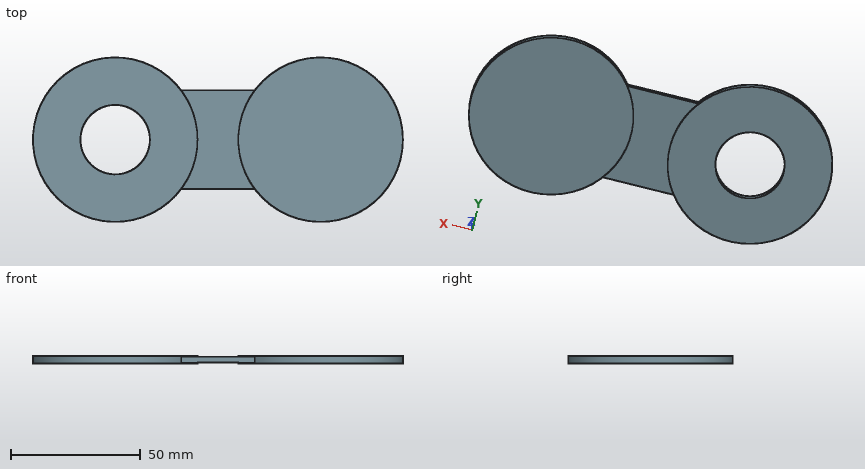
import cadquery as cq

overall_length = 142.8
disc_diameter = 63.5
disc_thickness = 3.0
bore_diameter = 26.7
web_width = 38.1
web_thickness = 2.3

centre_distance = overall_length - disc_diameter
disc_offset = centre_distance / 2


def centred_disc(x, diameter, thickness):
    """Cylinder at (x, 0), centred on the mid-plane Z = 0."""
    return cq.Workplane("XY").center(x, 0).circle(diameter / 2).extrude(thickness / 2, both=True)


ring_disc = centred_disc(-disc_offset, disc_diameter, disc_thickness)
blank_disc = centred_disc(disc_offset, disc_diameter, disc_thickness)

web = cq.Workplane("XY").box(centre_distance, web_width, web_thickness)

bore = centred_disc(-disc_offset, bore_diameter, disc_thickness)

result = ring_disc.union(blank_disc).union(web).cut(bore)